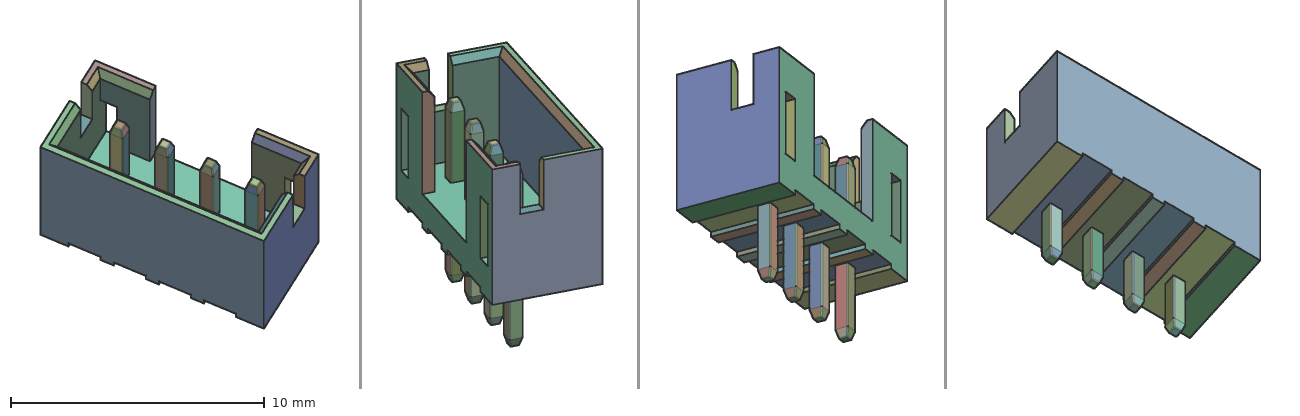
import cadquery as cq

length = 9.9
width = 4.7
housing_height = 6.0
floor_level = 1.485

side_wall = 0.495
front_wall = 0.51
back_wall = 0.51
side_rim = 0.25
front_rim = 0.27
back_rim = 0.24
bevel_depth = 0.3

pin_count = 4
pitch = 2.0
pin_size = 0.6
pin_tip_size = 0.38
pin_taper = 0.4
pin_edge_radius = 0.05
pin_below = 3.0
pin_top = 5.0
pin_y = 3.01

back_gap_width = 4.5
side_slot_width = 1.0
side_slot_depth = 2.21
window_width = 0.73
window_top = 4.24

channel_width = 1.42
channel_depth = 0.21

center_x = length / 2
pin_xs = [center_x + (i - (pin_count - 1) / 2) * pitch for i in range(pin_count)]


def block(x0, x1, y0, y1, z0, z1):
    """Box between opposite corners."""
    return cq.Workplane("XY").box(x1 - x0, y1 - y0, z1 - z0, centered=False).translate((x0, y0, z0))


def inset_outline(z, side, front, back):
    """Rectangular wire at height z, inset from the housing sides by the given distances."""
    back_y = width - back
    return cq.Wire.makePolygon(
        [
            cq.Vector(side, front, z),
            cq.Vector(length - side, front, z),
            cq.Vector(length - side, back_y, z),
            cq.Vector(side, back_y, z),
        ],
        close=True,
    )


def make_cavity():
    """Straight-sided pocket that flares out to a thin rim at the top."""
    pocket = block(side_wall, length - side_wall, front_wall, width - back_wall, floor_level, housing_height)
    flare_bottom = inset_outline(housing_height - bevel_depth, side_wall, front_wall, back_wall)
    flare_top = inset_outline(housing_height, side_rim, front_rim, back_rim)
    flare = cq.Solid.makeLoft([flare_bottom, flare_top], True)
    return pocket.union(cq.Workplane(flare))


def make_housing():
    body = block(0, length, 0, width, 0, housing_height).cut(make_cavity())

    gap_start = center_x - back_gap_width / 2
    gap_end = center_x + back_gap_width / 2
    body = body.cut(block(gap_start, gap_end, width - back_wall, width, floor_level, housing_height))

    slot_start = pin_y - side_slot_width / 2
    slot_end = pin_y + side_slot_width / 2
    body = body.cut(block(0, length, slot_start, slot_end, housing_height - side_slot_depth, housing_height))

    for x in (side_wall, length - side_wall - window_width):
        body = body.cut(block(x, x + window_width, width - back_wall, width, floor_level, window_top))

    for x in pin_xs:
        body = body.cut(block(x - channel_width / 2, x + channel_width / 2, 0, width, 0, channel_depth))
    return body


def make_taper(end_z, direction):
    """Pyramid-shaped tip ending at end_z, narrowing along direction (+1 up, -1 down)."""
    base = cq.Workplane("XY").workplane(offset=end_z - direction * pin_taper)
    return (
        base.rect(pin_size, pin_size)
        .workplane(offset=direction * pin_taper)
        .rect(pin_tip_size, pin_tip_size)
        .loft(ruled=True)
    )


def make_pin():
    """Square contact with tapered tips and rounded edges, centred on the Z axis."""
    shaft_length = pin_top + pin_below - 2 * pin_taper
    shaft = (
        cq.Workplane("XY")
        .workplane(offset=pin_taper - pin_below)
        .rect(pin_size, pin_size)
        .extrude(shaft_length)
    )
    pin = shaft.union(make_taper(pin_top, 1)).union(make_taper(-pin_below, -1))
    return pin.edges("(not #Z) or (>Z) or (<Z)").fillet(pin_edge_radius)


result = make_housing()
pin = make_pin()
for x in pin_xs:
    result = result.union(pin.translate((x, pin_y, 0)))